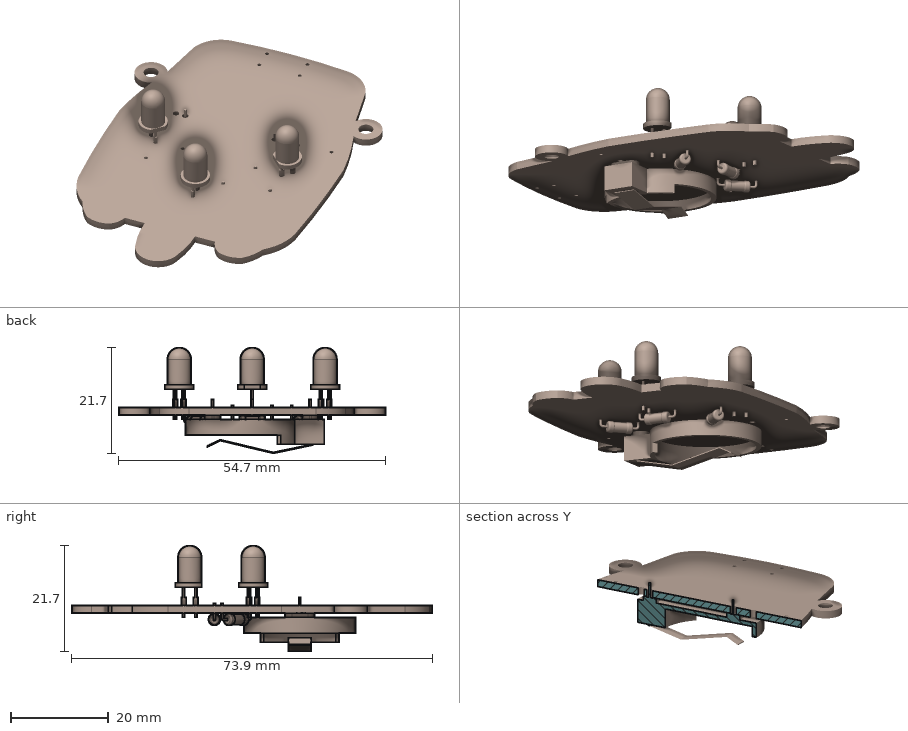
import cadquery as cq
import math


board_thickness = 1.6
board_half_length = 73.93 / 2
ear_radius = 3.4
ear_x = 54.7 / 2 - ear_radius
ear_y = 20.2
ear_hole_diameter = 3.05
lead_hole_diameter = 0.8
contact_hole_diameter = 1.3
strap_hole_x = 4.5
strap_hole_rows = (31.2, 35.2)
side_hole_x = 20.4
side_hole_y = 10.5

led_radius = 2.45
led_flat_distance = 2.5
led_flange_radius = 3.0
led_flange_height = 1.0
led_flange_bottom = 5.25
led_height = 8.6
led_lead_pitch = 2.54
led_lead_width = 0.5
led_lead_bottom = -0.9
led_shoulder_inner = 0.6
led_shoulder_outer = 0.45
led_shoulder_top = 3.2
led_places = ((-14.95, 0.2, -45), (14.95, 0.2, -135), (0, -12.8, 90))

resistor_pitch = 8.1
resistor_length = 5.3
resistor_cap_radius = 1.22
resistor_cap_length = 1.4
resistor_cap_fillet = 0.4
resistor_waist_radius = 1.1
resistor_axis_z = -1.3
resistor_lead_diameter = 0.5
resistor_lead_top = 2.05
resistor_bend_radius = 0.5
resistor_places = ((-10.97, -3.3, 45), (10.97, -3.3, -45), (0, -7.75, 0))

holder_x = 2.25
holder_y = 9.75
holder_radius = 11.45
holder_wall = 1.05
holder_floor = 1.0
holder_top = -0.9
holder_rim_bottom = -4.1
holder_block_bottom = -6.0
holder_block_end_x = -14.8
holder_block_width = 6.6
high_rim_half_angle = 45
contact_pin_width = 0.5
contact_pin_depth = 0.4
contact_pin_top = 3.2
contact_pins_x = (-11.87, 8.1)
spare_contact_holes_x = (-13.93, 12.95)
standoff_length = 3.2
standoff_width = 6.1
standoff_corner_radius = 1.4
clip_width = 4.7
clip_thickness = 0.2
clip_path = ((-12.4, -6.15), (-4.33, -7.85), (6.55, -5.25), (9.25, -6.55))


def at_angle(x, y, angle, distance):
    """Point at a distance from (x, y) in the given direction."""
    turn = math.radians(angle)
    return (x + distance * math.cos(turn), y + distance * math.sin(turn))


def pair_about(x, y, angle, pitch):
    """Two points centred on (x, y) along the given direction."""
    return [at_angle(x, y, angle, side * pitch / 2) for side in (1, -1)]


def board_outline():
    """Closed board outline, clockwise from the top left shoulder."""
    top_shoulder = (13.0, 36.3)
    top_corner = (17.1, 34.4)
    neck_top = (19.1, 31.3)
    neck_bottom = (20.9, 22.0)
    waist_top = (22.6, 16.9)
    waist_bend = (24.05, 11.6)
    waist = (25.0, 6.0)
    flank = (24.8, -7.5)
    hip_top = (24.15, -17.3)
    hip_bend = (22.7, -21.5)
    hip_bottom = (20.1, -24.6)
    foot_outside = (19.0, -26.8)
    foot_outer_end = (17.3, -28.8)
    foot_bottom = (14.8, -29.5)
    foot_inner_end = (12.2, -29.1)
    foot_inside = (10.9, -27.9)
    crotch = (10.05, -26.1)
    tail_root = (5.6, -26.1)
    tail_side = (5.35, -30.1)
    tail_round = (4.67, -33.0)

    def left(point):
        return (-point[0], point[1])

    return (
        cq.Workplane("XY")
        .moveTo(*left(top_shoulder))
        .threePointArc((0, board_half_length), top_shoulder)
        .threePointArc(top_corner, neck_top)
        .lineTo(*neck_bottom)
        .lineTo(*waist_top)
        .threePointArc(waist_bend, waist)
        .threePointArc(flank, hip_top)
        .threePointArc(hip_bend, hip_bottom)
        .threePointArc(foot_outside, foot_outer_end)
        .threePointArc(foot_bottom, foot_inner_end)
        .threePointArc(foot_inside, crotch)
        .lineTo(*tail_root)
        .threePointArc(tail_side, tail_round)
        .threePointArc((0, -board_half_length), left(tail_round))
        .threePointArc(left(tail_side), left(tail_root))
        .lineTo(*left(crotch))
        .threePointArc(left(foot_inside), left(foot_inner_end))
        .threePointArc(left(foot_bottom), left(foot_outer_end))
        .threePointArc(left(foot_outside), left(hip_bottom))
        .threePointArc(left(hip_bend), left(hip_top))
        .threePointArc(left(flank), left(waist))
        .threePointArc(left(waist_bend), left(waist_top))
        .lineTo(*left(neck_bottom))
        .lineTo(*left(neck_top))
        .threePointArc(left(top_corner), left(top_shoulder))
        .close()
    )


def drill(plate, points, diameter):
    """Round holes through the board."""
    holes = cq.Workplane("XY").pushPoints(points).circle(diameter / 2).extrude(board_thickness)
    return plate.cut(holes)


def make_board():
    ear_points = [(-ear_x, ear_y), (ear_x, ear_y)]
    ears = cq.Workplane("XY").pushPoints(ear_points).circle(ear_radius).extrude(board_thickness)
    plate = board_outline().extrude(board_thickness).union(ears)

    lead_points = [(side * strap_hole_x, y) for y in strap_hole_rows for side in (-1, 1)]
    lead_points += [(-side_hole_x, side_hole_y), (side_hole_x, side_hole_y)]
    for x, y, angle in led_places:
        lead_points += pair_about(x, y, angle, led_lead_pitch)
    for x, y, angle in resistor_places:
        lead_points += pair_about(x, y, angle, resistor_pitch)
    contact_points = [(x, holder_y) for x in contact_pins_x + spare_contact_holes_x]

    plate = drill(plate, ear_points, ear_hole_diameter)
    plate = drill(plate, lead_points, lead_hole_diameter)
    return drill(plate, contact_points, contact_hole_diameter)


def make_led(x, y, angle):
    """Domed LED with a flat on its flange and two shouldered leads resting on the board."""
    flange = cq.Workplane("XY").circle(led_flange_radius).extrude(led_flange_height)
    beyond_flat = cq.Workplane("XY").box(
        led_flange_radius, 2 * led_flange_radius, led_flange_height, centered=(False, True, False)
    )
    led = flange.cut(beyond_flat.translate((led_flat_distance, 0, 0)))

    dome_base = led_height - led_radius
    lens = (
        cq.Workplane("XZ")
        .lineTo(led_radius, 0)
        .lineTo(led_radius, dome_base)
        .radiusArc((0, led_height), -led_radius)
        .close()
        .revolve(360, (0, 0), (0, 1))
    )
    led = led.union(lens).translate((0, 0, led_flange_bottom))

    shoulder_length = led_shoulder_inner + led_shoulder_outer
    for side in (-1, 1):
        lead_x = side * led_lead_pitch / 2
        lead = cq.Workplane("XY").box(
            led_lead_width, led_lead_width, led_flange_bottom - led_lead_bottom, centered=(True, True, False)
        )
        shoulder = cq.Workplane("XY").box(
            shoulder_length, led_lead_width, led_shoulder_top - board_thickness, centered=(True, True, False)
        )
        shoulder_x = lead_x - side * (led_shoulder_inner - led_shoulder_outer) / 2
        led = led.union(lead.translate((lead_x, 0, led_lead_bottom)))
        led = led.union(shoulder.translate((shoulder_x, 0, board_thickness)))
    return led.rotate((0, 0, 0), (0, 0, 1), angle).translate((x, y, 0))


def make_resistor(x, y, angle):
    """Axial resistor below the board, its leads bent up through the board."""
    half_length = resistor_length / 2
    half_pitch = resistor_pitch / 2
    waist = cq.Workplane("YZ").circle(resistor_waist_radius).extrude(half_length, both=True)
    cap = cq.Workplane("YZ").circle(resistor_cap_radius).extrude(resistor_cap_length)
    cap = cap.edges().fillet(resistor_cap_fillet)
    resistor = (
        waist.edges().fillet(resistor_cap_fillet)
        .union(cap.translate((-half_length, 0, 0)))
        .union(cap.translate((half_length - resistor_cap_length, 0, 0)))
    )

    bend_middle = resistor_bend_radius * (1 - math.sqrt(0.5))
    lead_rise = resistor_lead_top - resistor_axis_z
    for side in (-1, 1):
        lead_path = (
            cq.Workplane("XZ")
            .lineTo(side * (half_pitch - resistor_bend_radius), 0)
            .threePointArc(
                (side * (half_pitch - bend_middle), bend_middle),
                (side * half_pitch, resistor_bend_radius),
            )
            .lineTo(side * half_pitch, lead_rise)
        )
        lead = cq.Workplane("YZ").circle(resistor_lead_diameter / 2).sweep(lead_path)
        resistor = resistor.union(lead)
    return resistor.rotate((0, 0, 0), (0, 0, 1), angle).translate((x, y, resistor_axis_z))


def holder_disc(radius, bottom, top):
    """Disc on the battery axis."""
    return cq.Workplane("XY", origin=(holder_x, holder_y, bottom)).circle(radius).extrude(top - bottom)


def make_clip():
    """Thin bent spring strip below the battery recess."""
    upper_path = [(x, z + clip_thickness) for x, z in reversed(clip_path)]
    return (
        cq.Workplane("XZ", origin=(0, holder_y, 0))
        .polyline(list(clip_path) + upper_path)
        .close()
        .extrude(clip_width / 2, both=True)
    )


def make_holder():
    """Round battery cup with a contact block, a high rim on that side, standoffs, pins and a spring clip."""
    cup = holder_disc(holder_radius, holder_rim_bottom, holder_top)

    rim_reach = 2 * holder_radius
    wedge = (
        cq.Workplane("XY", origin=(holder_x, holder_y, holder_block_bottom))
        .polyline([
            (0, 0),
            at_angle(0, 0, 180 - high_rim_half_angle, rim_reach),
            at_angle(0, 0, 180 + high_rim_half_angle, rim_reach),
        ])
        .close()
        .extrude(holder_top - holder_block_bottom)
    )
    high_rim = holder_disc(holder_radius, holder_block_bottom, holder_top).intersect(wedge)

    block = cq.Workplane("XY").box(
        holder_x - holder_block_end_x,
        holder_block_width,
        holder_top - holder_block_bottom,
        centered=(False, True, False),
    ).translate((holder_block_end_x, holder_y, holder_block_bottom))

    recess = holder_disc(holder_radius - holder_wall, holder_block_bottom, holder_top - holder_floor)
    holder = cup.union(high_rim).union(block).cut(recess)

    pin_points = [(x, holder_y) for x in contact_pins_x]
    standoffs = (
        cq.Workplane("XY", origin=(0, 0, holder_top))
        .pushPoints(pin_points)
        .rect(standoff_length, standoff_width)
        .extrude(-holder_top)
        .edges("|Z")
        .fillet(standoff_corner_radius)
    )
    pins = (
        cq.Workplane("XY", origin=(0, 0, holder_top))
        .pushPoints(pin_points)
        .rect(contact_pin_width, contact_pin_depth)
        .extrude(contact_pin_top - holder_top)
    )
    return holder.union(standoffs).union(pins).union(make_clip())


board = make_board()
leds = [make_led(*place) for place in led_places]
resistors = [make_resistor(*place) for place in resistor_places]
holder = make_holder()

bodies = [board, *leds, *resistors, holder]
result = cq.Compound.makeCompound([body.val() for body in bodies])